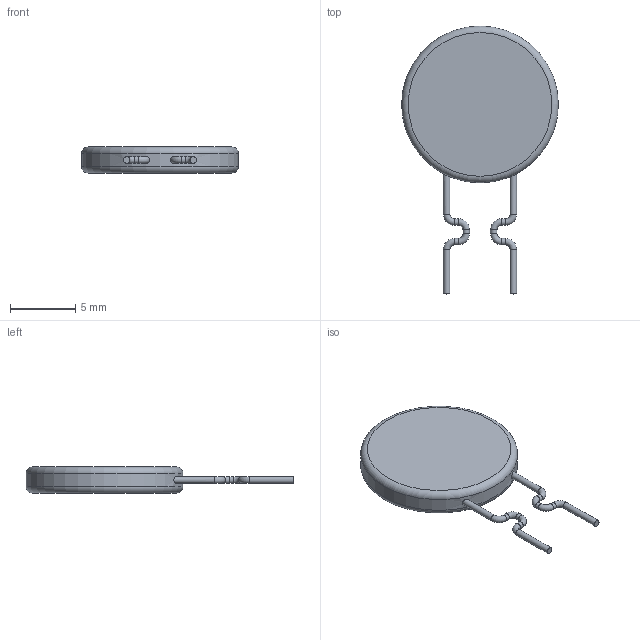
import cadquery as cq
import math

body_diameter = 12.0
body_thickness = 2.0
body_edge_radius = 0.5

wire_diameter = 0.5
lead_pitch = 5.1
lead_end_y = -14.5
lead_embed_depth = 1.0

bend_radius = 0.6
kink_straight = 0.3
kink_center_y = -9.75


def make_body():
    disc = cq.Workplane("XY").cylinder(body_thickness, body_diameter / 2)
    return disc.faces("|Z").edges().fillet(body_edge_radius)


def make_lead(side):
    """Wire lead on the +X (side = 1) or -X (side = -1) half, kinked toward X = 0."""
    lead_x = side * lead_pitch / 2
    rim_y = -math.sqrt((body_diameter / 2) ** 2 - lead_x ** 2)
    start_y = rim_y + lead_embed_depth

    outer_arm_x = lead_x - side * bend_radius
    inner_arm_x = outer_arm_x - side * kink_straight
    crest_x = inner_arm_x - side * bend_radius

    crest_offset = kink_straight / 2
    arm_offset = crest_offset + bend_radius
    entry_offset = arm_offset + bend_radius

    path = (
        cq.Workplane("XY")
        .moveTo(lead_x, start_y)
        .lineTo(lead_x, kink_center_y + entry_offset)
        .tangentArcPoint((outer_arm_x, kink_center_y + arm_offset), relative=False)
        .lineTo(inner_arm_x, kink_center_y + arm_offset)
        .tangentArcPoint((crest_x, kink_center_y + crest_offset), relative=False)
        .lineTo(crest_x, kink_center_y - crest_offset)
        .tangentArcPoint((inner_arm_x, kink_center_y - arm_offset), relative=False)
        .lineTo(outer_arm_x, kink_center_y - arm_offset)
        .tangentArcPoint((lead_x, kink_center_y - entry_offset), relative=False)
        .lineTo(lead_x, lead_end_y)
    )
    section = cq.Workplane("XZ", origin=(lead_x, start_y, 0)).circle(wire_diameter / 2)
    return section.sweep(path)


result = make_body()
for lead_side in (-1, 1):
    result = result.union(make_lead(lead_side))